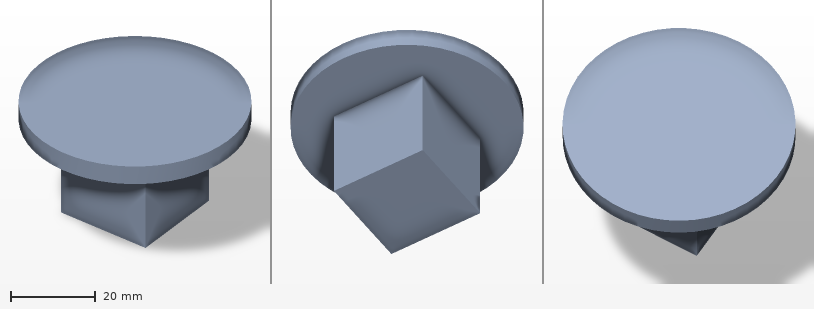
import cadquery as cq

disc_diameter = 55.0
total_height = 30.0
post_side = 24.95
post_height = post_side
disc_thickness = total_height - post_height

post = cq.Workplane("XY").rect(post_side, post_side).extrude(post_height)

disc = (
    cq.Workplane("XY")
    .workplane(offset=post_height)
    .circle(disc_diameter / 2)
    .extrude(disc_thickness)
)

result = post.union(disc)